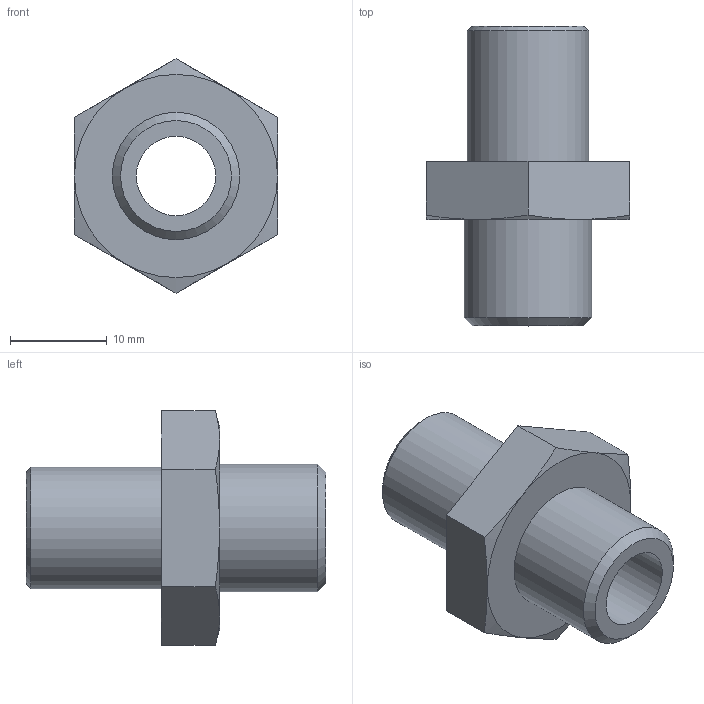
import cadquery as cq
import math


across_flats = 21.0
across_corners = across_flats / math.cos(math.radians(30))
hex_length = 6.0
hex_chamfer_angle = 15.0

front_diameter = 13.157
front_length = 11.0
front_chamfer = 0.85

rear_diameter = 12.6
rear_length = 14.0
rear_chamfer = 0.5

bore_diameter = 8.2


def cylinder_along_y(diameter, start_y, length):
    """Solid cylinder on the Y axis, from start_y toward +Y."""
    plane = cq.Plane(origin=(0, start_y, 0), xDir=(1, 0, 0), normal=(0, 1, 0))
    return cq.Workplane(plane).circle(diameter / 2).extrude(length)


def hex_collar():
    """Hexagon with flats on +/-X and its front corners turned off by a cone."""
    plane = cq.Plane(origin=(0, 0, 0), xDir=(0, 0, 1), normal=(0, 1, 0))
    prism = cq.Workplane(plane).polygon(6, across_corners).extrude(hex_length)

    face_radius = across_flats / 2
    envelope_radius = across_corners
    cone_depth = (envelope_radius - face_radius) * math.tan(math.radians(hex_chamfer_angle))
    envelope = (
        cq.Workplane("XY")
        .moveTo(0, 0)
        .lineTo(face_radius, 0)
        .lineTo(envelope_radius, cone_depth)
        .lineTo(envelope_radius, hex_length)
        .lineTo(0, hex_length)
        .close()
        .revolve(360, (0, 0, 0), (0, 1, 0))
    )
    return prism.intersect(envelope)


def front_spigot():
    spigot = cylinder_along_y(front_diameter, -front_length, front_length)
    return spigot.faces("<Y").edges().chamfer(front_chamfer)


def rear_spigot():
    spigot = cylinder_along_y(rear_diameter, hex_length, rear_length)
    return spigot.faces(">Y").edges().chamfer(rear_chamfer)


total_length = front_length + hex_length + rear_length
bore = cylinder_along_y(bore_diameter, -front_length, total_length)

result = hex_collar().union(front_spigot()).union(rear_spigot()).cut(bore)